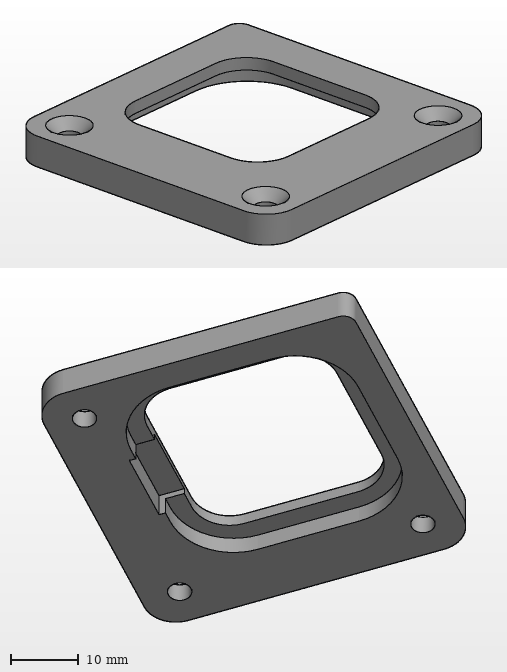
import cadquery as cq

side = 50.5
thickness = 5.0
corner_radius = 5.0
small_corner_radius = 2.0

window_side = 30.0
window_radius = 6.0
window_margin = 7.5
window_offset = (side - window_side) / 2 - window_margin

recess_overhang = 3.0
recess_radius = 10.0
lip_thickness = 2.0

notch_width = 12.0
notch_reach = 4.0
notch_roof = 1.0

hole_diameter = 3.6
countersink_diameter = 7.0
countersink_angle = 90.0
hole_inset = 6.0


def make_plate():
    plate = cq.Workplane("XY").box(side, side, thickness, centered=(True, True, False))
    plate = plate.edges("|Z and (>X or <Y)").fillet(corner_radius)
    return plate.edges("<X and >Y").fillet(small_corner_radius)


def window_prism(width, radius, height):
    """Rounded square on the window axis, rising from the underside."""
    prism = cq.Workplane("XY").box(width, width, height, centered=(True, True, False))
    return prism.edges("|Z").fillet(radius).translate((-window_offset, window_offset, 0))


def make_window():
    return window_prism(window_side, window_radius, thickness)


def make_recess():
    recess_side = window_side + 2 * recess_overhang
    return window_prism(recess_side, recess_radius, thickness - lip_thickness)


def make_notch():
    window_edge_x = window_side / 2 - window_offset
    base = cq.Workplane("XY").center(window_edge_x, window_offset)
    return base.rect(2 * notch_reach, notch_width).extrude(thickness - notch_roof)


def drill_screw_holes(plate):
    reach = side / 2 - hole_inset
    places = [(-reach, -reach), (reach, -reach), (reach, reach)]
    top = plate.faces(">Z").workplane(origin=(0, 0, thickness))
    return top.pushPoints(places).cskHole(hole_diameter, countersink_diameter, countersink_angle)


plate = make_plate().cut(make_window()).cut(make_recess()).cut(make_notch())
result = drill_screw_holes(plate)